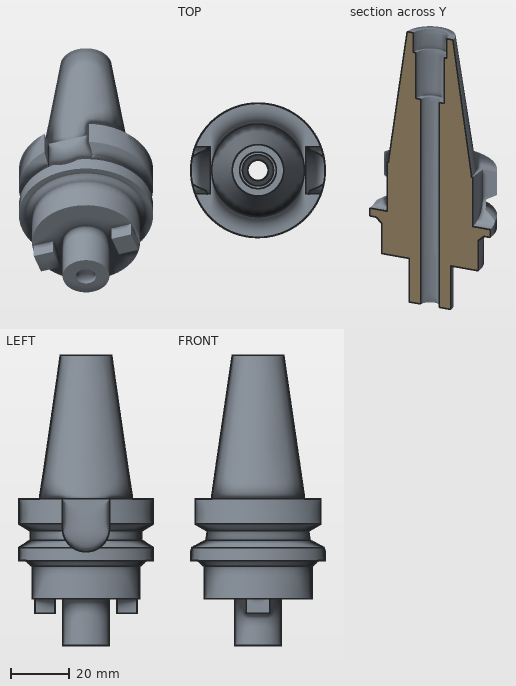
import cadquery as cq

total_height = 99.4
pilot_height = 16.0
collar_top = 27.1
flange_bottom = 29.0
lower_rim_top = 33.5
groove_bottom = 36.0
groove_top = 39.3
upper_rim_bottom = 41.6
flange_top = 50.2
gauge_height = 51.0

pilot_diameter = 16.0
collar_diameter = 37.0
flange_diameter = 46.0
relief_diameter = 41.2
groove_diameter = 38.3
gauge_diameter = 31.7
taper_end_diameter = 17.6

entry_diameter = 12.5
entry_depth = 7.2
thread_diameter = 10.6
thread_depth = 24.0
through_diameter = 7.0

slot_width = 16.1
slot_floor_x = 16.3
slot_bottom = 32.1

key_width = 8.1
key_height = 5.0
key_inner_y = 10.5
key_outer_y = 17.5


def turned_body():
    """Pilot, collar, grooved flange and taper as one revolved profile."""
    steps = [
        (pilot_diameter, 0),
        (pilot_diameter, pilot_height),
        (collar_diameter, pilot_height),
        (collar_diameter, collar_top),
        (relief_diameter, flange_bottom),
        (flange_diameter, flange_bottom),
        (flange_diameter, lower_rim_top),
        (groove_diameter, groove_bottom),
        (groove_diameter, groove_top),
        (flange_diameter, upper_rim_bottom),
        (flange_diameter, flange_top),
        (gauge_diameter, flange_top),
        (gauge_diameter, gauge_height),
        (taper_end_diameter, total_height),
    ]
    outline = [(diameter / 2, height) for diameter, height in steps]
    profile = cq.Workplane("XZ").polyline([(0, 0), *outline, (0, total_height)]).close()
    return profile.revolve(360, (0, 0), (0, 1))


def bore(diameter, depth):
    """Round cutter reaching down from the small end of the taper."""
    return cq.Workplane("XY").workplane(offset=total_height - depth).circle(diameter / 2).extrude(depth)


def drive_slot(side):
    """Round-bottomed slot cutter, open at the top and outer side of the flange."""
    radius = slot_width / 2
    arc_center = slot_bottom + radius
    outline = (
        cq.Workplane("YZ", origin=(side * slot_floor_x, 0, 0))
        .moveTo(-radius, flange_top)
        .lineTo(-radius, arc_center)
        .threePointArc((0, slot_bottom), (radius, arc_center))
        .lineTo(radius, flange_top)
        .close()
    )
    return outline.extrude(side * flange_diameter / 2)


def drive_key(side):
    """Rectangular key hanging from the underside of the collar."""
    key_length = key_outer_y - key_inner_y
    center_y = side * (key_inner_y + key_outer_y) / 2
    return (
        cq.Workplane("XY", origin=(0, center_y, pilot_height))
        .rect(key_width, key_length)
        .extrude(-key_height)
    )


result = turned_body()
for side in (-1, 1):
    result = result.cut(drive_slot(side)).union(drive_key(side))

for diameter, depth in (
    (entry_diameter, entry_depth),
    (thread_diameter, thread_depth),
    (through_diameter, total_height),
):
    result = result.cut(bore(diameter, depth))